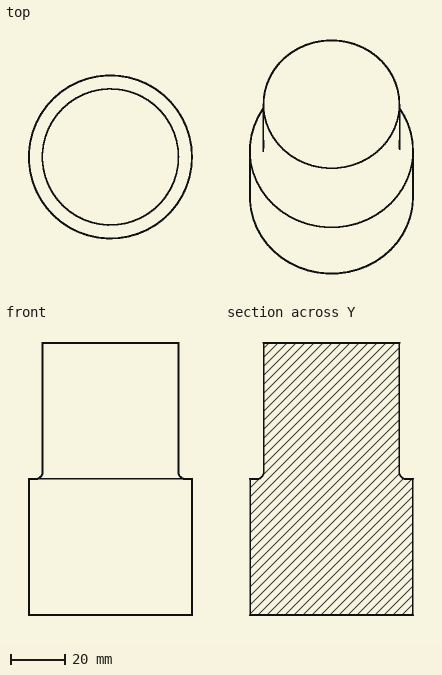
import cadquery as cq

total_height = 100.0
base_height = total_height / 2
base_diameter = 60.0
neck_diameter = 50.0
shoulder_width = (base_diameter - neck_diameter) / 2
fillet_radius = shoulder_width / 2

base = cq.Workplane("XY").circle(base_diameter / 2).extrude(base_height)

stepped_shaft = base.faces(">Z").workplane().circle(neck_diameter / 2).extrude(total_height - base_height)

neck_root = cq.selectors.RadiusNthSelector(0)
result = stepped_shaft.faces("<Z[1]").edges(neck_root).fillet(fillet_radius)